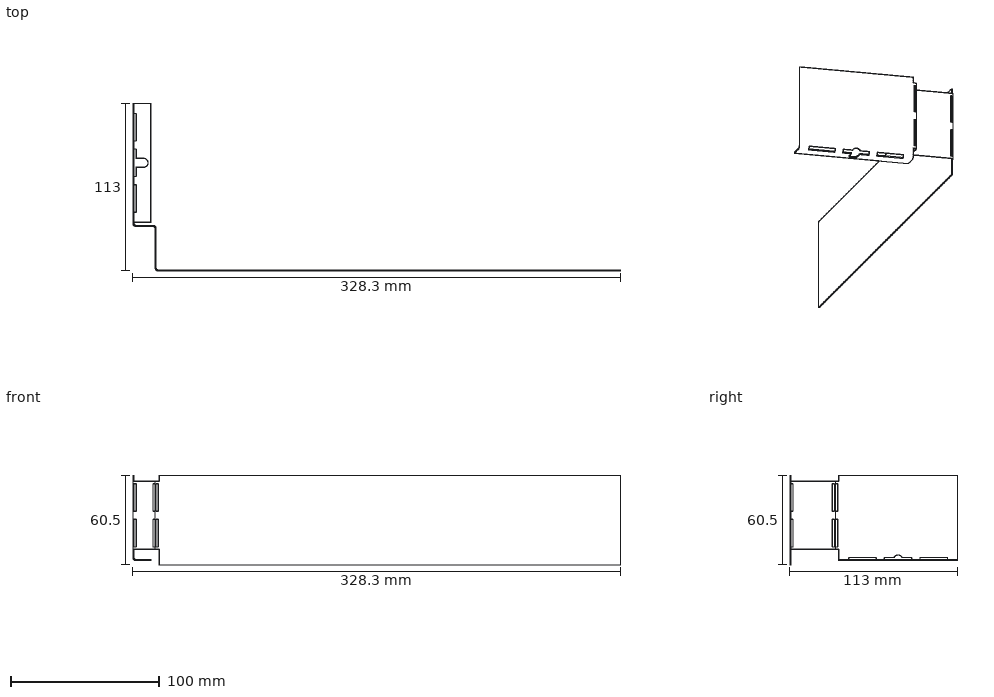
import cadquery as cq


length = 328.3
depth = 113.0
height = 60.5

thickness = 0.8
bend_radius = 2.15
inner_radius = bend_radius - thickness

plate_width = 80.0
plate_bottom = 3.0
lip_reach = 12.0
plate_start = depth - plate_width
plate_fold = plate_bottom + bend_radius
plate_middle = plate_start + plate_width / 2

web_bottom = 10.5
web_height = 46.0
panel_start = 17.7
tab_reach = 0.5
plate_tab = plate_start - tab_reach
panel_tab = panel_start - tab_reach
strip_front = plate_tab - bend_radius
strip_back = strip_front + thickness
web_left = panel_tab - bend_radius
web_right = web_left + thickness

slot_length = 18.5
bridge_length = 5.5
lip_slots = 3
web_slots = 2

notch_radius = 3.0
notch_tip = 10.2
notch_rise = 1.5


def sheet(x_range, y_range, z_range):
    """Flat rectangular piece spanning the given ranges."""
    starts = (x_range[0], y_range[0], z_range[0])
    sizes = [end - start for start, end in (x_range, y_range, z_range)]
    return cq.Workplane("XY").box(*sizes, centered=False).translate(starts)


def bridges(start, fold_length, slot_count):
    """Start and length of every bridge left along a perforated fold."""
    slotted_length = slot_count * slot_length + (slot_count - 1) * bridge_length
    margin = (fold_length - slotted_length) / 2
    spans = [(start, margin)]
    position = start + margin + slot_length
    for _ in range(slot_count - 1):
        spans.append((position, bridge_length))
        position += bridge_length + slot_length
    spans.append((position, margin))
    return spans


def perforated_bend(plane, center, toward, spans):
    """Quarter-ring bridges about a bend center; toward gives the signs of the quadrant."""
    u, v = center
    quadrant = cq.Sketch().push([(toward[0] * bend_radius / 2, toward[1] * bend_radius / 2)])
    quadrant = quadrant.rect(bend_radius, bend_radius).reset()
    ring = cq.Sketch().circle(bend_radius).circle(inner_radius, mode="s")
    ring = ring.face(quadrant, mode="i")
    bend = cq.Workplane(plane)
    for start, span in spans:
        bridge = cq.Workplane(plane).center(u, v).workplane(offset=start)
        bend = bend.add(bridge.placeSketch(ring).extrude(span))
    return bend.combine()


web_span = (web_bottom, web_bottom + web_height)
plate = sheet((0, thickness), (plate_start, depth), (plate_fold, height))
lip = sheet((bend_radius, lip_reach), (plate_start, depth), (plate_bottom, plate_bottom + thickness))
strip = sheet((bend_radius, web_right - bend_radius), (strip_front, strip_back), web_span)
web = sheet((web_left, web_right), (bend_radius, strip_back - bend_radius), web_span)
plate_edge_tab = sheet((0, thickness), (plate_tab, plate_start), web_span)
panel_edge_tab = sheet((panel_tab, panel_start), (0, thickness), web_span)
panel = sheet((panel_start, length), (0, thickness), (0, height))

lip_notch_center = notch_tip - notch_radius
plate_notch_center = plate_fold + notch_rise - notch_radius
plate_notch = (
    cq.Workplane("YZ")
    .center(plate_middle, plate_notch_center)
    .circle(notch_radius)
    .extrude(thickness)
)
lip_notch = (
    cq.Workplane("XY", origin=(lip_notch_center, plate_middle, plate_bottom))
    .circle(notch_radius)
    .extrude(thickness)
)
lip_notch_throat = sheet(
    (bend_radius, lip_notch_center),
    (plate_middle - notch_radius, plate_middle + notch_radius),
    (plate_bottom, plate_bottom + thickness),
)
plate = plate.cut(plate_notch)
lip = lip.cut(lip_notch).cut(lip_notch_throat)

lip_spans = bridges(plate_start, plate_width, lip_slots)
web_spans = bridges(web_bottom, web_height, web_slots)
lip_bend = perforated_bend("ZX", (plate_fold, bend_radius), (-1, -1), lip_spans)
plate_bend = perforated_bend("XY", (bend_radius, plate_tab), (-1, -1), web_spans)
strip_bend = perforated_bend("XY", (web_right - bend_radius, strip_back - bend_radius), (1, 1), web_spans)
panel_bend = perforated_bend("XY", (panel_tab, bend_radius), (-1, -1), web_spans)

pieces = (
    lip_bend,
    lip,
    plate_edge_tab,
    plate_bend,
    strip,
    strip_bend,
    web,
    panel_bend,
    panel_edge_tab,
    panel,
)
result = plate
for piece in pieces:
    result = result.union(piece)